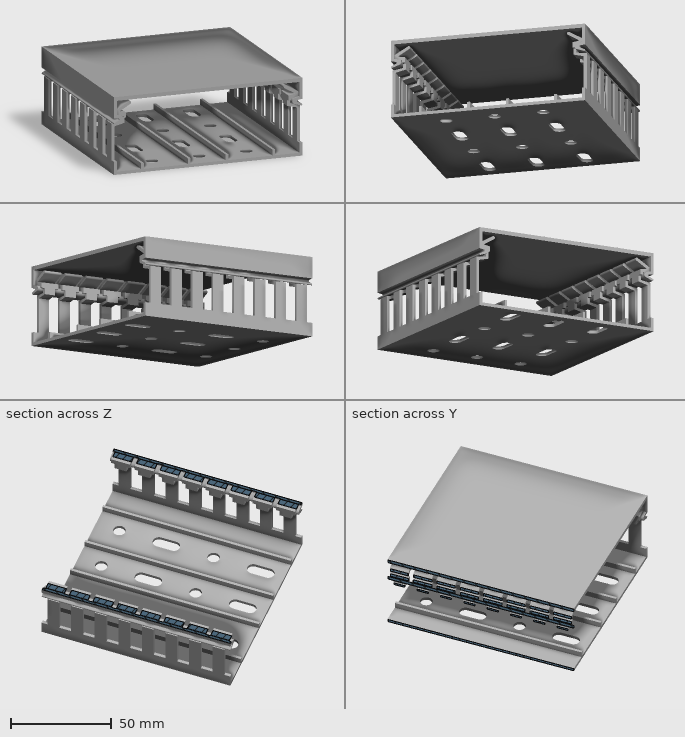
import cadquery as cq
import math


length = 100.0
width = 100.0
height = 40.0
wall = 1.6
cover_thickness = 2.0
half_width = width / 2

floor_thickness = 1.6
rib_height = 3.0
rib_width = 1.4
rib_offsets = (10.0, 34.8)
hole_diameter = 6.2
slot_length = 14.2
mount_pitch = 25.0
mount_columns = 4
mount_rows = 3

finger_count = 8
finger_pitch = length / finger_count
finger_gap = finger_pitch / 2
clip_gap = 2.5
gap_bottom = 6.8

clip_middle = 28.5
clip_depth = 6.9
clip_thickness = 1.4
clip_recess = clip_depth - clip_thickness
wall_top = 25.5
ledge_slope = 0.15
wall_inner_top = 24.1
clip_bottom = 25.4
clip_top = 31.2

arm_angle = math.radians(30)
arm_thickness = 1.6
arm_length = 7.9
arm_base = 32.8
arm_root_inset = 3.2

seat_height = 30.5
seat_slope = -0.25
lip_outer_start = 4.4
lip_outer_end = (4.4, 27.1)
lip_nose_inset = 5.4
lip_tip_bottom = (0.6, 25.8)
lip_tip_middle = (0.05, 26.3)
lip_tip_top = (0.5, 26.8)
lip_inner_end = (2.6, 27.8)
lip_inner_middle = (2.9, 28.3)
lip_inner_start = (2.6, 28.8)
lip_bottom = 29.2


def seat(inset):
    """Point on the sloping seat where the cover lip bears up against the clip."""
    return (inset, seat_height + seat_slope * (inset - wall))


def place(point):
    """Turn an (inset, height) point into (Y, Z) on the +Y side."""
    inset, level = point
    return (half_width - inset, level)


def along_duct():
    """YZ sketch plane at the -X end of the duct."""
    return cq.Workplane("YZ", origin=(-length / 2, 0, 0))


def both_sides(side):
    """Join a +Y side to its mirror image."""
    return side.union(side.mirror("XZ"))


def base_side():
    """Side wall with its clip and lead-in arm, before the finger gaps are cut."""
    ledge_height = wall_top + ledge_slope * clip_recess
    cos_arm = math.cos(arm_angle)
    sin_arm = math.sin(arm_angle)
    radius = arm_thickness / 2
    tip_outer = (wall + arm_length * cos_arm, arm_base + arm_length * sin_arm)
    tip_center = (tip_outer[0] + radius * sin_arm, tip_outer[1] - radius * cos_arm)
    tip_end = (tip_center[0] + radius * cos_arm, tip_center[1] + radius * sin_arm)
    tip_inner = (tip_center[0] + radius * sin_arm, tip_center[1] - radius * cos_arm)
    arm_root_height = tip_inner[1] - (tip_inner[0] - arm_root_inset) * math.tan(arm_angle)
    up_to_tip = [
        (0, 0),
        (0, wall_top),
        (clip_recess, ledge_height),
        seat(clip_recess),
        seat(wall),
        (wall, arm_base),
        tip_outer,
    ]
    back_to_floor = [
        (arm_root_inset, arm_root_height),
        (clip_depth, clip_top),
        (clip_depth, clip_bottom),
        (wall, wall_inner_top),
        (wall, 0),
    ]
    return (
        along_duct()
        .polyline([place(point) for point in up_to_tip])
        .threePointArc(place(tip_end), place(tip_inner))
        .polyline([place(point) for point in back_to_floor], includeCurrent=True)
        .close()
        .extrude(length)
    )


def gap_block(gap_width, bottom):
    """Block across the duct, from the given height up past the top of the fingers."""
    return cq.Workplane("XY", origin=(0, 0, bottom)).box(
        gap_width, width, height, centered=(True, True, False)
    )


def cut_gaps(body):
    """Cut the open gaps between fingers, narrower between clips, with half a gap at each end."""
    wide_part = gap_block(finger_gap, gap_bottom).cut(gap_block(finger_gap, clip_middle))
    gap = wide_part.union(gap_block(clip_gap, gap_bottom))
    for index in range(finger_count + 1):
        body = body.cut(gap.translate((index * finger_pitch - length / 2, 0, 0)))
    return body


def floor():
    """Flat floor with its lengthwise ribs."""
    plate = cq.Workplane("XY").box(length, width, floor_thickness, centered=(True, True, False))
    rib = cq.Workplane("XY").box(
        length, rib_width, floor_thickness + rib_height, centered=(True, True, False)
    )
    for offset in rib_offsets:
        for side in (-1, 1):
            plate = plate.union(rib.translate((0, side * offset, 0)))
    return plate


def drill_floor(body):
    """Cut the mounting grid: columns of slots alternate with columns of round holes."""
    for column in range(mount_columns):
        x = (column - (mount_columns - 1) / 2) * mount_pitch
        for row in range(mount_rows):
            y = (row - (mount_rows - 1) / 2) * mount_pitch
            sketch = cq.Workplane("XY").center(x, y)
            if column % 2 == 0:
                opening = sketch.slot2D(slot_length, hole_diameter)
            else:
                opening = sketch.circle(hole_diameter / 2)
            body = body.cut(opening.extrude(floor_thickness))
    return body


def make_base():
    """Base trunk: floor, ribs, mounting holes and two walls of clip fingers."""
    body = floor().union(both_sides(base_side()))
    return drill_floor(cut_gaps(body))


def cover_side():
    """Cover skirt, its curled lip and half of the top plate."""
    lip_nose = (lip_nose_inset, clip_middle)
    return (
        along_duct()
        .moveTo(0, height)
        .lineTo(*place((0, height)))
        .lineTo(*place((0, lip_bottom)))
        .lineTo(*place(lip_inner_start))
        .threePointArc(place(lip_inner_middle), place(lip_inner_end))
        .lineTo(*place(lip_tip_top))
        .threePointArc(place(lip_tip_middle), place(lip_tip_bottom))
        .lineTo(*place(lip_outer_end))
        .threePointArc(place(lip_nose), place(seat(lip_outer_start)))
        .lineTo(*place(seat(wall)))
        .lineTo(*place((wall, height - cover_thickness)))
        .lineTo(0, height - cover_thickness)
        .close()
        .extrude(length)
    )


base = make_base()
cover = both_sides(cover_side())

result = cq.Compound.makeCompound([base.val(), cover.val()])